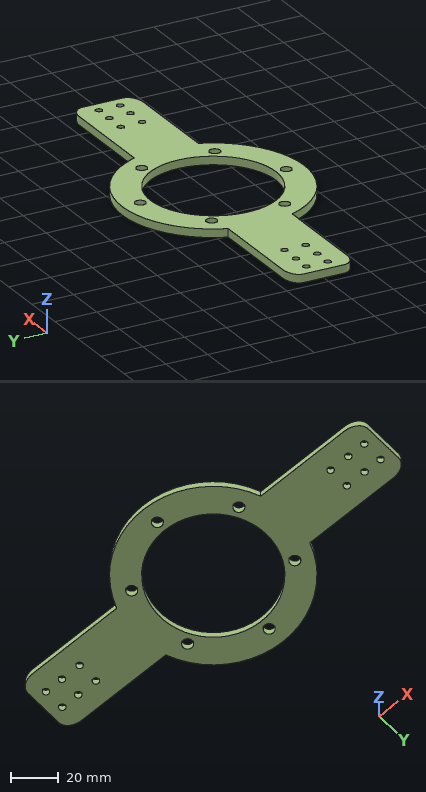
import cadquery as cq

length = 192.2
thickness = 4.0
arm_width = 30.8
corner_length = 8.0
corner_width = 5.8

ring_diameter = 87.0
bore_diameter = 60.0
ring_hole_diameter = 5.0
ring_hole_circle_radius = 35.0
ring_hole_count = 6
first_ring_hole_angle = 30.0

arm_hole_diameter = 3.0
arm_hole_distances = (71.0, 81.0, 90.0)
arm_hole_row_spacing = 10.2


def arm_strip():
    """Full-length strip whose four corners are quarter ellipses."""
    end_x = length / 2
    side_y = arm_width / 2
    straight_x = end_x - corner_length
    straight_y = side_y - corner_width

    def corner(outline, start_angle):
        return outline.ellipseArc(
            corner_length, corner_width, start_angle, start_angle + 90, startAtCurrent=True
        )

    outline = cq.Workplane("XY").moveTo(end_x, -straight_y).lineTo(end_x, straight_y)
    outline = corner(outline, 0).lineTo(-straight_x, side_y)
    outline = corner(outline, 90).lineTo(-end_x, -straight_y)
    outline = corner(outline, 180).lineTo(straight_x, -side_y)
    return corner(outline, 270).close().extrude(thickness)


def plate_blank():
    """Arm strip joined to the central disc, resting on Z = 0."""
    disc = cq.Workplane("XY").circle(ring_diameter / 2).extrude(thickness)
    return arm_strip().union(disc)


def arm_hole_centers():
    """Two rows of holes on each arm, mirrored about the ring center."""
    return [
        (side * distance, row * arm_hole_row_spacing / 2)
        for side in (-1, 1)
        for distance in arm_hole_distances
        for row in (-1, 1)
    ]


def through_cutters():
    """Solids for the central bore, the ring holes and the arm holes."""
    bore = cq.Workplane("XY").circle(bore_diameter / 2).extrude(thickness)
    ring_holes = (
        cq.Workplane("XY")
        .polarArray(ring_hole_circle_radius, first_ring_hole_angle, 360, ring_hole_count)
        .circle(ring_hole_diameter / 2)
        .extrude(thickness)
    )
    arm_holes = (
        cq.Workplane("XY")
        .pushPoints(arm_hole_centers())
        .circle(arm_hole_diameter / 2)
        .extrude(thickness)
    )
    return bore, ring_holes, arm_holes


result = plate_blank()
for cutter in through_cutters():
    result = result.cut(cutter)